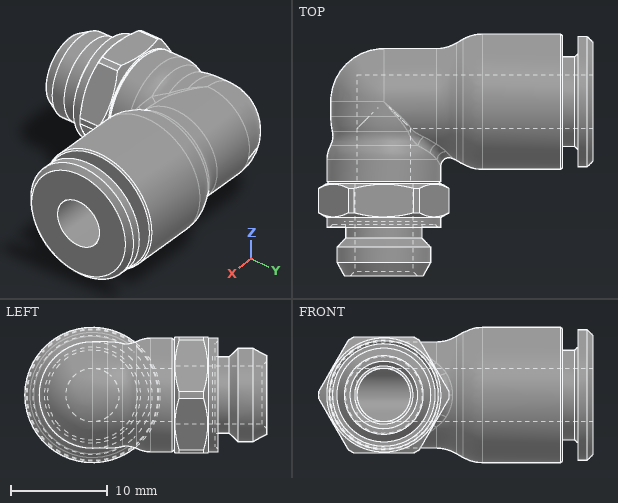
import cadquery as cq
import math


elbow_r = 5.5
inner_corner_fillet = 0.85

stem_collar_r = 11.8 / 2
waist_start_y = -1.53
waist_mid_y = -3.1
waist_mid_r = 5.33
swell_y = -4.55
swell_r = 5.53
shoulder_y = -5.98
stem_edge_chamfer = 0.23
nut_top_y = -8.45

socket_r = 7.0
flare_start_x = 5.41
flare_line_start = (7.48, 6.07)
flare_line_end = (8.16, 6.45)
flare_end_x = 10.2
socket_end_x = 18.45
socket_chamfer_length = 0.2
socket_chamfer_depth = 0.17

collar_neck_r = 4.65
collar_cone_start_x = 19.7
collar_flange_x = 20.05
collar_cone_growth = 0.3
collar_flange_r = 6.75
collar_end_x = 21.6
collar_chamfer = 0.6

nut_across_flats = 12.02
nut_corner_r = 6.75
nut_bottom_y = -11.95
nut_chamfer_angle = 30.0
half_facet_angle = 180.0 / 6

seal_end_y = -12.98
seal_recess_outer_r = 5.6
seal_recess_floor_r = 5.3
seal_hole_r = 8.15 / 2
seal_gap_depth = 0.28
seal_recess_depth = seal_recess_outer_r - seal_recess_floor_r

plug_neck_r = 7.9 / 2
plug_r = 9.7 / 2
plug_tip_r = 8.15 / 2
plug_cone_start_y = -14.1
plug_cylinder_start_y = -15.03
plug_taper_start_y = -16.58
plug_end_y = -18.0

bore_r = 5.5 / 2
stem_bore_r = 6.0 / 2
mouth_r = 3.5


def revolve_about_y(profile):
    """Revolve a closed XY profile, given as (radius, y), about the stem axis."""
    return profile.close().revolve(360, (0, 0, 0), (0, 1, 0))


def revolve_about_x(profile):
    """Revolve a closed XY profile, given as (x, radius), about the socket axis."""
    return profile.close().revolve(360, (0, 0, 0), (1, 0, 0))


def make_stem():
    profile = (
        cq.Workplane("XY")
        .lineTo(elbow_r, 0)
        .lineTo(elbow_r, waist_start_y)
        .tangentArcPoint((waist_mid_r, waist_mid_y), relative=False)
        .tangentArcPoint((swell_r, swell_y), relative=False)
        .tangentArcPoint((stem_collar_r, shoulder_y), relative=False)
        .lineTo(stem_collar_r, nut_top_y + stem_edge_chamfer)
        .lineTo(stem_collar_r - stem_edge_chamfer, nut_top_y)
        .lineTo(0, nut_top_y)
    )
    return revolve_about_y(profile)


def make_socket():
    profile = (
        cq.Workplane("XY")
        .lineTo(0, elbow_r)
        .lineTo(flare_start_x, elbow_r)
        .tangentArcPoint(flare_line_start, relative=False)
        .lineTo(*flare_line_end)
        .tangentArcPoint((flare_end_x, socket_r), relative=False)
        .lineTo(socket_end_x - socket_chamfer_length, socket_r)
        .lineTo(socket_end_x, socket_r - socket_chamfer_depth)
        .lineTo(socket_end_x, 0)
    )
    return revolve_about_x(profile)


def make_body():
    """Elbow with a ball corner; the curved seam where stem and socket meet is rounded."""
    body = cq.Workplane("XY").sphere(elbow_r).union(make_stem()).union(make_socket())
    return body.edges("%BSPLINE or %ELLIPSE").fillet(inner_corner_fillet)


def make_release_collar():
    profile = (
        cq.Workplane("XY")
        .moveTo(socket_end_x, 0)
        .lineTo(socket_end_x, collar_neck_r)
        .lineTo(collar_cone_start_x, collar_neck_r)
        .lineTo(collar_flange_x, collar_neck_r + collar_cone_growth)
        .lineTo(collar_flange_x, collar_flange_r)
        .lineTo(collar_end_x - collar_chamfer, collar_flange_r)
        .lineTo(collar_end_x, collar_flange_r - collar_chamfer)
        .lineTo(collar_end_x, 0)
    )
    return revolve_about_x(profile)


def make_nut():
    height = nut_top_y - nut_bottom_y
    across_corners = nut_across_flats / math.cos(math.radians(half_facet_angle))
    hexagon = (
        cq.Workplane("XZ", origin=(0, nut_top_y, 0))
        .polygon(6, across_corners)
        .extrude(height)
    )
    chamfer_length = (nut_corner_r - stem_collar_r) * math.tan(math.radians(nut_chamfer_angle))
    envelope = (
        cq.Workplane("XY")
        .moveTo(0, nut_top_y)
        .lineTo(stem_collar_r, nut_top_y)
        .lineTo(nut_corner_r, nut_top_y - chamfer_length)
        .lineTo(nut_corner_r, nut_bottom_y + chamfer_length)
        .lineTo(stem_collar_r, nut_bottom_y)
        .lineTo(0, nut_bottom_y)
    )
    return hexagon.intersect(revolve_about_y(envelope))


def make_plug():
    """Sealing collar with its recessed face, a narrow gap around the neck, and the double-tapered plug."""
    recess_floor_y = seal_end_y + seal_recess_depth
    gap_floor_y = recess_floor_y + seal_gap_depth
    profile = (
        cq.Workplane("XY")
        .moveTo(0, nut_bottom_y)
        .lineTo(stem_collar_r, nut_bottom_y)
        .lineTo(stem_collar_r, seal_end_y)
        .lineTo(seal_recess_outer_r, seal_end_y)
        .lineTo(seal_recess_floor_r, recess_floor_y)
        .lineTo(seal_hole_r, recess_floor_y)
        .lineTo(seal_hole_r, gap_floor_y)
        .lineTo(plug_neck_r, gap_floor_y)
        .lineTo(plug_neck_r, plug_cone_start_y)
        .lineTo(plug_r, plug_cylinder_start_y)
        .lineTo(plug_r, plug_taper_start_y)
        .lineTo(plug_tip_r, plug_end_y)
        .lineTo(0, plug_end_y)
    )
    return revolve_about_y(profile)


def make_bores():
    mouth_depth = mouth_r - stem_bore_r
    stem_bore = revolve_about_y(
        cq.Workplane("XY")
        .lineTo(bore_r, 0)
        .lineTo(bore_r, nut_top_y)
        .lineTo(stem_bore_r, nut_top_y)
        .lineTo(stem_bore_r, plug_end_y + mouth_depth)
        .lineTo(mouth_r, plug_end_y)
        .lineTo(0, plug_end_y)
    )
    socket_bore = (
        cq.Workplane("YZ", origin=(-bore_r, 0, 0))
        .circle(bore_r)
        .extrude(bore_r + collar_end_x)
    )
    return stem_bore.union(socket_bore)


result = (
    make_body()
    .union(make_release_collar())
    .union(make_nut())
    .union(make_plug())
    .cut(make_bores())
)